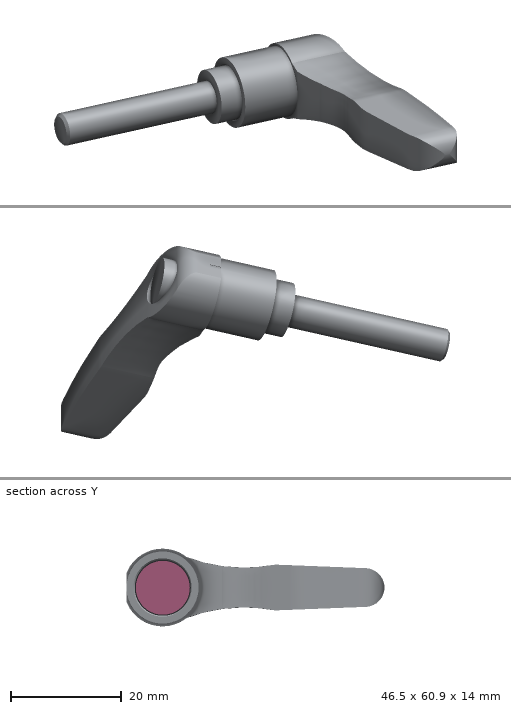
import cadquery as cq
import math

stud_length = 30.0
collar_height = 4.0
handle_bottom = 14.5
cap_top = 24.5
handle_top = 30.87

stud_diameter = 6.0
stud_tip_diameter = 5.0
collar_diameter = 10.0
sleeve_mouth_diameter = 10.5
sleeve_diameter = 13.0
hub_diameter = 14.0
cap_diameter = 8.6

hub_flat_x = -sleeve_diameter / 2
handle_tip_x = 40.01
crown_start_y = 21.2
crown_middle = (16.0, 28.2)
crown_end_x = 37.5
hub_corner_radius = 3.4
tip_corner_radius = 2.5
neck_x = sleeve_diameter / 2
grip_y = 18.95
grip_start_x = 15.9
grip_end_x = 24.25
grip_blend_radius = 8.7
underside_step_start = (10.75, 16.77)
underside_step_end = (10.93, 16.9)
nose_start = (35.5, 22.15)
nose_middle = (38.6, 24.2)
nose_end_y = 27.5

hub_exit_x = 4.3
waist_x = 14.5
waist_half_width = 3.6
shoulder_x = 19.7
shoulder_half_width = 4.05
shoulder_length = 1.1
shoulder_rise = 0.06
tip_round_x = 36.4
tip_half_width = 3.5

mark_width = 0.5
mark_height = 2.1
mark_depth = 0.1

profile_margin = 1.0


def cylinder(diameter, y_start, y_end):
    """Solid cylinder on the Y axis between two Y stations."""
    base = cq.Workplane("XZ", origin=(0, y_start, 0)).circle(diameter / 2)
    return base.extrude(y_start - y_end)


def lever_side_profile():
    """Bent lever outline in XY, extruded through the full width in Z."""
    body = (
        cq.Workplane("XY")
        .moveTo(hub_flat_x, handle_bottom)
        .lineTo(hub_flat_x, crown_start_y)
        .threePointArc(crown_middle, (crown_end_x, handle_top))
        .lineTo(handle_tip_x, handle_top)
        .lineTo(handle_tip_x, nose_end_y)
        .threePointArc(nose_middle, nose_start)
        .lineTo(grip_end_x, grip_y)
        .lineTo(grip_start_x, grip_y)
        .lineTo(*underside_step_end)
        .lineTo(*underside_step_start)
        .lineTo(neck_x, handle_bottom)
        .close()
        .extrude(hub_diameter / 2 + profile_margin, both=True)
    )
    rounded_corners = [
        (hub_flat_x, crown_start_y, hub_corner_radius),
        (handle_tip_x, handle_top, tip_corner_radius),
        (grip_start_x, grip_y, grip_blend_radius),
        (grip_end_x, grip_y, grip_blend_radius),
    ]
    for x, y, radius in rounded_corners:
        corner = cq.selectors.NearestToPointSelector((x, y, 0))
        body = body.edges("|Z").edges(corner).fillet(radius)
    return body


def lever_width_profile():
    """Keyhole-shaped lever outline in XZ, extruded over the lever's height in Y."""
    hub_radius = hub_diameter / 2
    hub_exit_z = math.sqrt(hub_radius**2 - hub_exit_x**2)
    shoulder_end_x = shoulder_x + shoulder_length
    shoulder_end_z = shoulder_half_width + shoulder_rise
    shoulder_middle = (
        shoulder_x + shoulder_length / 2,
        (shoulder_half_width + shoulder_end_z) / 2 + shoulder_rise / 2,
    )
    tip_radius = handle_tip_x - tip_round_x
    tip_middle = (
        tip_round_x + tip_radius * math.cos(math.pi / 4),
        tip_half_width * math.sin(math.pi / 4),
    )
    upper_half = (
        cq.Workplane("XZ", origin=(0, handle_bottom, 0))
        .moveTo(-hub_radius, 0)
        .threePointArc((0, hub_radius), (hub_exit_x, hub_exit_z))
        .threePointArc((waist_x, waist_half_width), (shoulder_x, shoulder_half_width))
        .threePointArc(shoulder_middle, (shoulder_end_x, shoulder_end_z))
        .lineTo(tip_round_x, tip_half_width)
        .threePointArc(tip_middle, (handle_tip_x, 0))
        .close()
        .extrude(handle_bottom - handle_top - profile_margin)
    )
    return upper_half.union(upper_half.mirror("XY"))


def handle():
    """Lever with its hub flattened and marked at -X, and bored for the cap."""
    lever = lever_side_profile().intersect(lever_width_profile())
    bore = cylinder(cap_diameter, handle_bottom, handle_top)
    mark = cq.Workplane("XY").box(mark_depth, mark_height, mark_width, centered=(False, False, True))
    return lever.cut(bore).cut(mark.translate((hub_flat_x, handle_bottom, 0)))


def sleeve():
    """Sleeve below the lever, its bore fitting the collar and chamfered at the mouth."""
    mouth_chamfer = (sleeve_mouth_diameter - collar_diameter) / 2
    body = cylinder(sleeve_diameter, collar_height, handle_bottom)
    bored = body.cut(cylinder(collar_diameter, collar_height, handle_bottom))
    mouth = cq.selectors.RadiusNthSelector(0)
    return bored.faces("<Y").edges(mouth).chamfer(mouth_chamfer)


def spindle():
    """Plain stud with a chamfered tip, collar and cap on one axis."""
    tip_chamfer = (stud_diameter - stud_tip_diameter) / 2
    stud = cylinder(stud_diameter, -stud_length, 0).faces("<Y").chamfer(tip_chamfer)
    collar = cylinder(collar_diameter, 0, handle_bottom)
    cap = cylinder(cap_diameter, handle_bottom, cap_top)
    return stud.union(collar).union(cap)


result = handle().union(sleeve()).union(spindle())